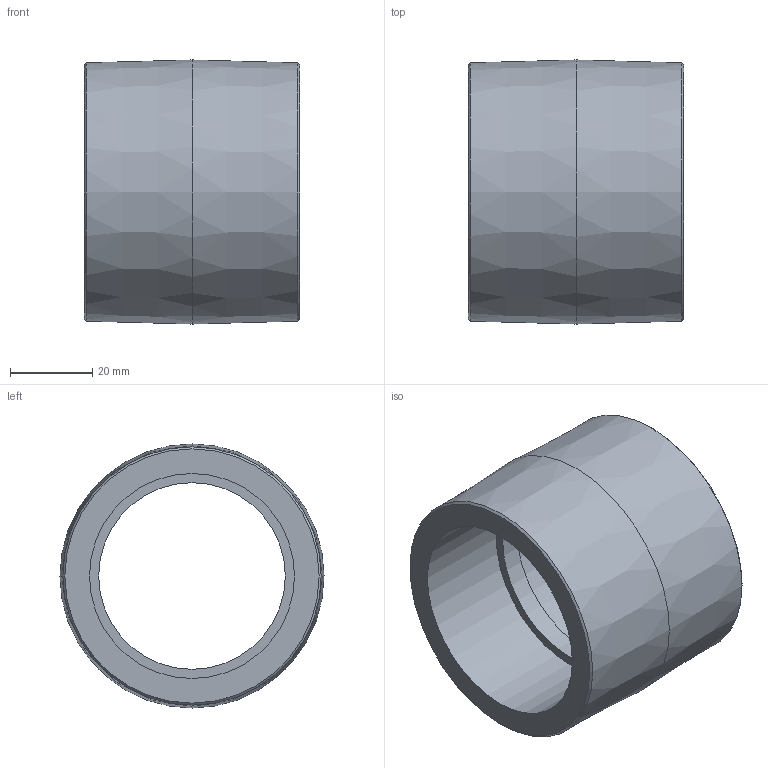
import cadquery as cq

length = 52.5
middle_diameter = 64.4
end_diameter = 63.0
end_chamfer = 0.5
socket_diameter = 50.0
rib_diameter = 45.5
rib_width = 5.0

half_length = length / 2
half_rib = rib_width / 2


def barrel():
    """Solid barrel: two slight cones, widest at mid-length, with chamfered end edges."""
    end_radius = end_diameter / 2
    face_radius = end_radius - end_chamfer
    chamfer_start_x = half_length - end_chamfer
    profile = (
        cq.Workplane("XY")
        .moveTo(-half_length, 0)
        .lineTo(-half_length, face_radius)
        .lineTo(-chamfer_start_x, end_radius)
        .lineTo(0, middle_diameter / 2)
        .lineTo(chamfer_start_x, end_radius)
        .lineTo(half_length, face_radius)
        .lineTo(half_length, 0)
        .close()
    )
    return profile.revolve(360, (0, 0, 0), (1, 0, 0))


def bore(diameter, start_x, end_x):
    """Cylinder along the sleeve axis, used as a cutter."""
    start_plane = cq.Workplane("YZ", origin=(start_x, 0, 0))
    return start_plane.circle(diameter / 2).extrude(end_x - start_x)


result = (
    barrel()
    .cut(bore(rib_diameter, -half_length, half_length))
    .cut(bore(socket_diameter, -half_length, -half_rib))
    .cut(bore(socket_diameter, half_rib, half_length))
)